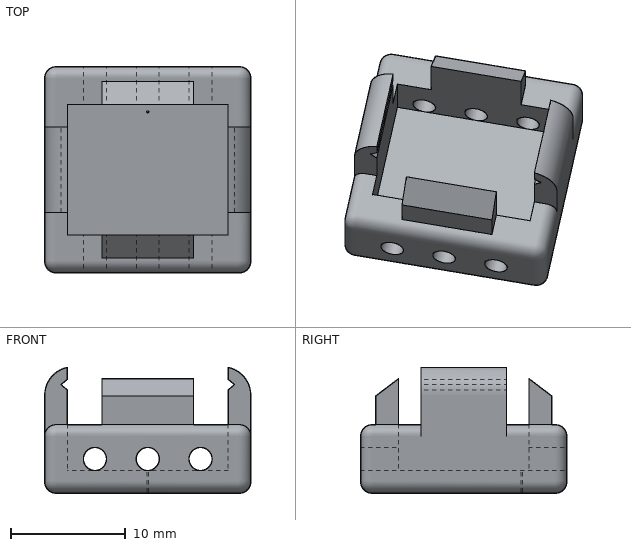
import cadquery as cq
import math

side = 18.0
base_height = 6.0
edge_radius = 1.0

wall = 2.0
floor_thickness = 2.0
pocket_length = side - 2 * wall
pocket_width = 11.38

cross_hole_diameter = 2.0
cross_hole_pitch = 4.6
cross_hole_z = floor_thickness + cross_hole_diameter / 2

pinhole_diameter = 0.15
pinhole_y = 5.05

clip_width = 7.49
clip_top = 11.0
clip_radius = 2.5
notch_z = 9.49
notch_depth = 0.55
notch_half_height = 0.47

tab_width = 8.0
tab_thickness = 2.0
tab_peak = 10.0
tab_shoulder = 8.5

foot_z = base_height / 2


def make_base():
    block = cq.Workplane("XY").box(side, side, base_height, centered=(True, True, False))
    return block.edges().fillet(edge_radius)


def make_clip():
    """Clip on the +X side: flat outside, rounded over the top, V-notch inside."""
    outer = side / 2
    inner = outer - wall
    arc_center_x = outer - clip_radius
    end_angle = math.acos((inner - arc_center_x) / clip_radius)
    arc_center_z = clip_top - clip_radius * math.sin(end_angle)
    arc_middle = (
        arc_center_x + clip_radius * math.cos(end_angle / 2),
        arc_center_z + clip_radius * math.sin(end_angle / 2),
    )
    return (
        cq.Workplane("XZ")
        .moveTo(inner, foot_z)
        .lineTo(outer, foot_z)
        .lineTo(outer, arc_center_z)
        .threePointArc(arc_middle, (inner, clip_top))
        .lineTo(inner, notch_z + notch_half_height)
        .lineTo(inner + notch_depth, notch_z)
        .lineTo(inner, notch_z - notch_half_height)
        .close()
        .extrude(clip_width / 2, both=True)
    )


def make_tab():
    """Tab on the +Y side: flush with the pocket wall, sloping down outwards."""
    inner = pocket_width / 2
    outer = inner + tab_thickness
    outline = [(inner, foot_z), (outer, foot_z), (outer, tab_shoulder), (inner, tab_peak)]
    return cq.Workplane("YZ").polyline(outline).close().extrude(tab_width / 2, both=True)


def make_pocket():
    return (
        cq.Workplane("XY")
        .workplane(offset=floor_thickness)
        .rect(pocket_length, pocket_width)
        .extrude(base_height)
    )


def make_cross_holes():
    centers = [(step * cross_hole_pitch, cross_hole_z) for step in (-1, 0, 1)]
    return (
        cq.Workplane("XZ")
        .pushPoints(centers)
        .circle(cross_hole_diameter / 2)
        .extrude(side / 2, both=True)
    )


def make_pinhole():
    return (
        cq.Workplane("XY")
        .center(0, pinhole_y)
        .circle(pinhole_diameter / 2)
        .extrude(floor_thickness)
    )


body = make_base().cut(make_pocket())
for shape in (make_clip(), make_tab()):
    body = body.union(shape)
    body = body.union(shape.rotate((0, 0, 0), (0, 0, 1), 180))

result = body.cut(make_cross_holes()).cut(make_pinhole())